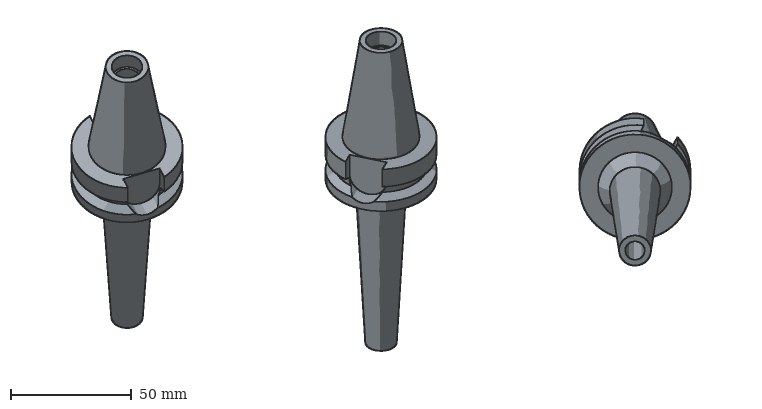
import cadquery as cq

total_length = 153.4
neck_top_z = 78.0
flange_bottom_z = 83.0
lower_rim_top_z = 87.7
groove_bottom_z = 89.9
groove_top_z = 93.3
upper_rim_bottom_z = 95.4
flange_top_z = 104.3
taper_base_z = 105.1

nose_diameter = 13.2
neck_diameter = 21.0
collar_diameter = 30.5
flange_diameter = 46.0
groove_diameter = 38.4
taper_base_diameter = 31.9
taper_top_diameter = 17.6

slot_width = 16.1
slot_bottom_z = 86.2
slot_floor_x = 16.3

pilot_diameter = 12.6
pilot_depth = 7.0
thread_diameter = 10.5
thread_depth = 30.7
relief_diameter = 9.2
relief_depth = 38.4
through_diameter = 8.0


def turned_body():
    """Revolve the nose, neck, grooved flange and taper as one solid."""
    half_profile = [
        (0, 0),
        (nose_diameter / 2, 0),
        (neck_diameter / 2, neck_top_z),
        (collar_diameter / 2, flange_bottom_z),
        (flange_diameter / 2, flange_bottom_z),
        (flange_diameter / 2, lower_rim_top_z),
        (groove_diameter / 2, groove_bottom_z),
        (groove_diameter / 2, groove_top_z),
        (flange_diameter / 2, upper_rim_bottom_z),
        (flange_diameter / 2, flange_top_z),
        (taper_base_diameter / 2, flange_top_z),
        (taper_base_diameter / 2, taper_base_z),
        (taper_top_diameter / 2, total_length),
        (0, total_length),
    ]
    return cq.Workplane("XZ").polyline(half_profile).close().revolve(360, (0, 0), (0, 1))


def drive_slot():
    """Round-bottomed slot, open at the flange top, on the +X side."""
    half_width = slot_width / 2
    arc_start_z = slot_bottom_z + half_width
    return (
        cq.Workplane("YZ", origin=(slot_floor_x, 0, 0))
        .moveTo(-half_width, flange_top_z)
        .lineTo(-half_width, arc_start_z)
        .threePointArc((0, slot_bottom_z), (half_width, arc_start_z))
        .lineTo(half_width, flange_top_z)
        .close()
        .extrude(flange_diameter / 2 - slot_floor_x)
    )


def bore_step(diameter, depth):
    """Cylinder running down from the taper end face."""
    return cq.Workplane("XY", origin=(0, 0, total_length)).circle(diameter / 2).extrude(-depth)


result = turned_body()

for side_angle in (0, 180):
    result = result.cut(drive_slot().rotate((0, 0, 0), (0, 0, 1), side_angle))

for diameter, depth in (
    (pilot_diameter, pilot_depth),
    (thread_diameter, thread_depth),
    (relief_diameter, relief_depth),
    (through_diameter, total_length),
):
    result = result.cut(bore_step(diameter, depth))